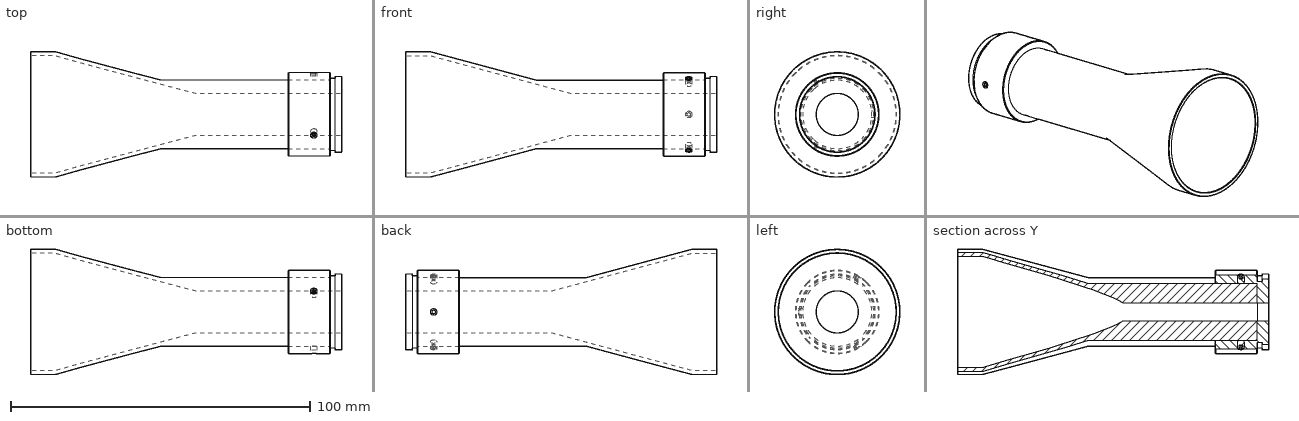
import cadquery as cq

total_length = 103.97
mouth_diameter = 42.0
mouth_wall = 1.4
mouth_length = 8.2
mouth_chamfer = 0.2
flare_end = 43.6
barrel_diameter = 23.0
bore_diameter = 14.0

collar_start = 86.0
collar_end = 100.1
collar_diameter = 28.0
neck_diameter = 24.2
flange_start = 101.7
flange_diameter = 25.4
collar_chamfer = 0.25
flange_chamfer = 0.2

screw_count = 3
screw_diameter = 2.2
screw_x = 94.6
screw_recess = 0.2
socket_across_corners = 1.3
socket_depth = 1.0


def cylinder(start, end, diameter):
    """Solid cylinder on the X axis between two X positions."""
    return cq.Workplane("YZ", origin=(start, 0, 0)).circle(diameter / 2).extrude(end - start)


def build_lens_tube():
    mouth_radius = mouth_diameter / 2
    barrel_radius = barrel_diameter / 2
    bore_radius = bore_diameter / 2
    mouth_bore_radius = mouth_radius - mouth_wall
    flare_slope = (mouth_radius - barrel_radius) / (flare_end - mouth_length)
    inner_cone_end = mouth_length + (mouth_bore_radius - bore_radius) / flare_slope
    profile = [
        (0, mouth_bore_radius),
        (0, mouth_radius),
        (mouth_length, mouth_radius),
        (flare_end, barrel_radius),
        (collar_end, barrel_radius),
        (collar_end, bore_radius),
        (inner_cone_end, bore_radius),
        (mouth_length, mouth_bore_radius),
    ]
    tube = cq.Workplane("XZ").polyline(profile).close().revolve(360, (0, 0, 0), (1, 0, 0))
    return tube.faces("<X").chamfer(mouth_chamfer)


def place_around_axis(body, index):
    """Turn a body made on the +Y side to its place in the ring of screws."""
    return body.rotate((0, 0, 0), (1, 0, 0), index * 360 / screw_count)


def radial_rod(outer_radius):
    """Screw-sized rod along +Y, from the curved barrel surface to a flat outer end."""
    rod = (
        cq.Workplane("ZX", origin=(screw_x, 0, 0))
        .circle(screw_diameter / 2)
        .extrude(outer_radius)
    )
    return rod.cut(cylinder(collar_start, collar_end, barrel_diameter))


def build_set_screw():
    """Set screw with a hexagon socket, sunk just below the collar surface."""
    screw_end = collar_diameter / 2 - screw_recess
    socket = (
        cq.Workplane("ZX", origin=(screw_x, screw_end, 0))
        .polygon(6, socket_across_corners)
        .extrude(-socket_depth)
    )
    return radial_rod(screw_end).cut(socket)


def build_mount_adapter():
    collar = cylinder(collar_start, collar_end, collar_diameter)
    collar = collar.faces("<X or >X").chamfer(collar_chamfer)
    neck = cylinder(collar_end, flange_start, neck_diameter)
    flange = cylinder(flange_start, total_length, flange_diameter)
    flange = flange.faces(">X").chamfer(flange_chamfer)
    adapter = collar.union(neck).union(flange)
    adapter = adapter.cut(cylinder(collar_start, collar_end, barrel_diameter))
    adapter = adapter.cut(cylinder(collar_end, total_length, bore_diameter))
    screw_hole = radial_rod(collar_diameter)
    for index in range(screw_count):
        adapter = adapter.cut(place_around_axis(screw_hole, index))
    return adapter


lens_tube = build_lens_tube()
mount_adapter = build_mount_adapter()
set_screws = [place_around_axis(build_set_screw(), index) for index in range(screw_count)]

result = cq.Compound.makeCompound(
    [lens_tube.val(), mount_adapter.val(), *[screw.val() for screw in set_screws]]
)